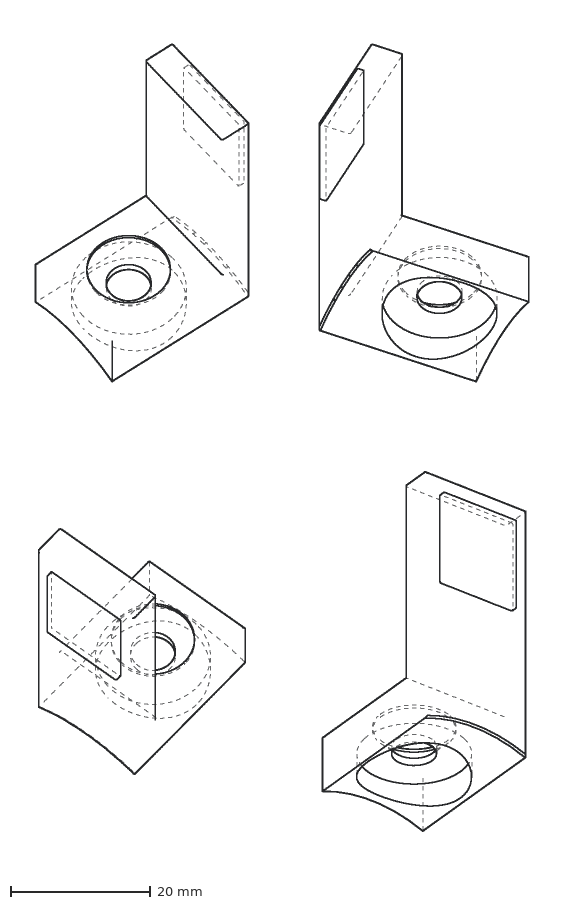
import cadquery as cq

width = 18.0
height = 41.75
foot_length = 20.0
wall_thickness = 5.0
foot_thickness = 7.5
saddle_rise = 1.75
bracket_edge_round = 0.3

hole_diameter = 6.45
head_diameter = 12.02
head_recess = 0.5
countersink_angle = 90.0
recess_diameter = 16.53
recess_depth = 3.0

pad_width = 13.0
pad_height = 15.0
pad_thickness = 1.0
pad_edge_round = 0.2
pad_top_gap = 3.0

foot_top = saddle_rise + foot_thickness
back_y = foot_length + wall_thickness
tolerance = 0.005


def l_shaped_block():
    """Foot and upright wall, extruded across the width."""
    return (
        cq.Workplane("YZ")
        .polyline(
            [
                (0, 0),
                (back_y, 0),
                (back_y, height),
                (foot_length, height),
                (foot_length, foot_top),
                (0, foot_top),
            ]
        )
        .close()
        .extrude(width / 2, both=True)
    )


def saddle_cutter():
    """Shallow arc under the foot, running the whole length in Y."""
    return (
        cq.Workplane("XZ")
        .moveTo(-width / 2, 0)
        .threePointArc((0, saddle_rise), (width / 2, 0))
        .close()
        .extrude(-back_y)
    )


def round_edges(block):
    """Round the side edges of the wall front, the foot top edges and the back outline."""
    wall_edges = cq.selectors.BoxSelector(
        (-width, foot_length - tolerance, foot_top + tolerance),
        (width, foot_length + tolerance, height - tolerance),
    )
    foot_edges = cq.selectors.BoxSelector(
        (-width, -tolerance, foot_top - tolerance),
        (width, foot_length - tolerance, foot_top + tolerance),
    )
    block = block.edges(wall_edges + foot_edges).fillet(bracket_edge_round)
    return block.faces(">Y").edges().fillet(bracket_edge_round)


def drill_foot(block):
    """Countersunk hole in the middle of the foot, opening into a wider round recess below."""
    hole_center = (0, foot_length / 2)
    recess_top = saddle_rise + recess_depth
    recess = cq.Workplane("XY").center(*hole_center).circle(recess_diameter / 2).extrude(recess_top)
    head_pocket = (
        cq.Workplane("XY", origin=(0, 0, foot_top))
        .center(*hole_center)
        .circle(head_diameter / 2)
        .extrude(-head_recess)
    )
    countersink_plane = cq.Workplane("XY", origin=(0, 0, foot_top - head_recess)).center(*hole_center)
    return (
        block.cut(recess)
        .cut(head_pocket)
        .copyWorkplane(countersink_plane)
        .cskHole(hole_diameter, head_diameter, countersink_angle)
    )


def make_bracket():
    block = l_shaped_block().cut(saddle_cutter())
    return drill_foot(round_edges(block)).solids()


def make_pad():
    """Rectangular pad with every edge rounded except those touching the wall."""
    pad_center_z = height - pad_top_gap - pad_height / 2
    return (
        cq.Workplane("XZ", origin=(0, back_y, pad_center_z))
        .rect(pad_width, pad_height)
        .extrude(-pad_thickness)
        .edges("|Y or >Y")
        .fillet(pad_edge_round)
    )


bracket = make_bracket()
pad = make_pad()

result = cq.Compound.makeCompound([bracket.val(), pad.val()])